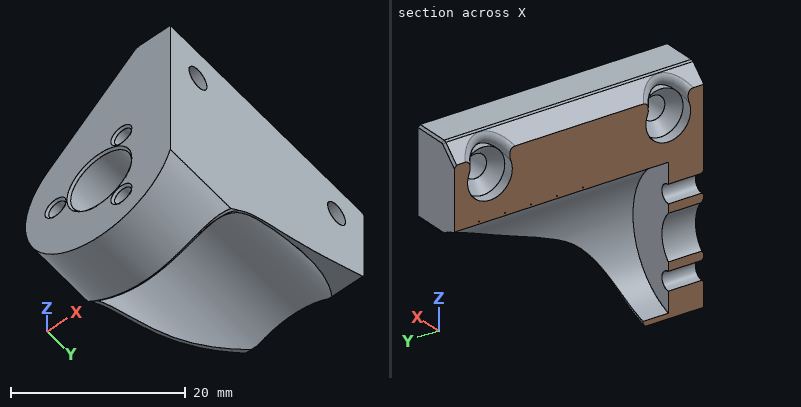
import cadquery as cq
import math

LENGTH = 35.0
BODY_RADIUS = 11.0
PAD_X = 10.5
TOP_Z = 20.5
PAD_THICKNESS = 5.0
EDGE_CHAMFER = 0.3
TOP_EDGE_CHAMFER = 0.2

RELIEF_START_Y = 8.5
RELIEF_RADIUS = 12.0
RELIEF_JOINT_SLOPE = math.radians(20)
RAMP_RADIUS = 150.0
CURVE_STEPS = 4
RELIEF_MARGIN = 5.0

MOTOR_DIAMETER = 20.5
FRONT_WALL = 5.0
SHAFT_DIAMETER = 9.0
FACE_SCREW_DIAMETER = 2.5
FACE_SCREW_CIRCLE_RADIUS = 6.5
FACE_SCREW_ANGLES = (60, 180, 300)

MOUNT_SCREW_DIAMETER = 3.2
MOUNT_HEAD_DIAMETER = 6.2
MOUNT_SCREW_Z = 15.5
MOUNT_SCREW_YS = (5.0, 30.0)
MOUNT_CONE_START_X = 4.7
MOUNT_CONE_DEPTH = (MOUNT_HEAD_DIAMETER - MOUNT_SCREW_DIAMETER) / 2
MOUNT_LIP_FILLET = 1.0
MOUTH_REACH = 0.6 * MOUNT_HEAD_DIAMETER


def make_body():
    """Teardrop outline: flat top and a slope tangent to the round housing, at full radius on +X."""
    top_x = PAD_X - PAD_THICKNESS
    corner_distance = math.hypot(top_x, TOP_Z)
    tangent_angle = math.atan2(TOP_Z, top_x) + math.acos(BODY_RADIUS / corner_distance)
    tangent_point = (
        BODY_RADIUS * math.cos(tangent_angle),
        BODY_RADIUS * math.sin(tangent_angle),
    )
    return (
        cq.Workplane("XZ")
        .moveTo(BODY_RADIUS, 0)
        .lineTo(BODY_RADIUS, TOP_Z)
        .lineTo(top_x, TOP_Z)
        .lineTo(*tangent_point)
        .threePointArc((0, -BODY_RADIUS), (BODY_RADIUS, 0))
        .close()
        .extrude(-LENGTH)
    )


def arc_point(center, radius, angle):
    """Point on a circle at the given angle, measured from the first axis."""
    return (center[0] + radius * math.cos(angle), center[1] + radius * math.sin(angle))


def make_relief():
    """Space below the rear: a tight arc rising from the bottom, then a gentle arc tangent to it."""
    lower_center = (RELIEF_START_Y + RELIEF_RADIUS, -BODY_RADIUS)
    joint_angle = math.pi / 2 + RELIEF_JOINT_SLOPE
    joint = arc_point(lower_center, RELIEF_RADIUS, joint_angle)

    upper_center = arc_point(joint, RAMP_RADIUS, joint_angle)
    rear_y = LENGTH + RELIEF_MARGIN
    ramp_start_angle = joint_angle - math.pi
    ramp_end_angle = -math.acos((rear_y - upper_center[0]) / RAMP_RADIUS)

    curve = []
    for step in range(CURVE_STEPS):
        angle = math.pi + (joint_angle - math.pi) * step / CURVE_STEPS
        curve.append(arc_point(lower_center, RELIEF_RADIUS, angle))
    for step in range(CURVE_STEPS + 1):
        angle = ramp_start_angle + (ramp_end_angle - ramp_start_angle) * step / CURVE_STEPS
        curve.append(arc_point(upper_center, RAMP_RADIUS, angle))
    start_tangent = (0, 1)
    end_tangent = (-math.sin(ramp_end_angle), math.cos(ramp_end_angle))

    floor_z = -BODY_RADIUS - RELIEF_MARGIN
    half_width = BODY_RADIUS + RELIEF_MARGIN
    return (
        cq.Workplane("YZ")
        .moveTo(RELIEF_START_Y, floor_z)
        .lineTo(RELIEF_START_Y, -BODY_RADIUS)
        .spline(curve[1:], tangents=[start_tangent, end_tangent], includeCurrent=True)
        .lineTo(rear_y, floor_z)
        .close()
        .extrude(half_width, both=True)
    )


def front_hole(diameter, x, z):
    """Hole through the front wall with a chamfered mouth."""
    radius = diameter / 2
    hole = cq.Workplane("XZ").center(x, z).circle(radius).extrude(-FRONT_WALL)
    mouth = cq.Solid.makeCone(
        radius + EDGE_CHAMFER, radius, EDGE_CHAMFER, cq.Vector(x, 0, z), cq.Vector(0, 1, 0)
    )
    return hole.union(cq.Workplane(mouth))


def mount_head_pocket(y):
    """Screw head clearance, open through the slope on the -X side."""
    return (
        cq.Workplane("YZ", origin=(-BODY_RADIUS, y, MOUNT_SCREW_Z))
        .circle(MOUNT_HEAD_DIAMETER / 2)
        .extrude(PAD_X + BODY_RADIUS)
    )


def mount_screw_seat(y):
    """Plug at the pad end of the pocket, with the conical seat and screw hole cut from it."""
    start = cq.Vector(MOUNT_CONE_START_X, y, MOUNT_SCREW_Z)
    axis = cq.Vector(1, 0, 0)
    depth = PAD_X - MOUNT_CONE_START_X
    plug = cq.Solid.makeCylinder(MOUNT_HEAD_DIAMETER / 2, depth, start, axis)
    cone = cq.Solid.makeCone(
        MOUNT_HEAD_DIAMETER / 2, MOUNT_SCREW_DIAMETER / 2, MOUNT_CONE_DEPTH, start, axis
    )
    shank = cq.Solid.makeCylinder(MOUNT_SCREW_DIAMETER / 2, depth, start, axis)
    return cq.Workplane(plug.cut(cone, shank))


def pocket_mouth(y):
    """Selector for the elliptical rim where a pocket breaks through the slope."""
    return cq.selectors.BoxSelector(
        (-BODY_RADIUS, y - MOUTH_REACH, 0),
        (PAD_X - PAD_THICKNESS, y + MOUTH_REACH, TOP_Z),
    )


body = make_body()
slope_top = cq.selectors.NearestToPointSelector((PAD_X - PAD_THICKNESS, LENGTH / 2, TOP_Z))
body = body.edges(slope_top).chamfer(TOP_EDGE_CHAMFER)
body = body.cut(make_relief())

rim = body.edges("not (|X or |Y or <Y or >X)").add(body.edges(">Z and >Y"))
body = body.newObject(rim.vals()).chamfer(EDGE_CHAMFER)

pad_trim = cq.Workplane("YZ", origin=(PAD_X, 0, 0)).rect(4 * LENGTH, 4 * LENGTH).extrude(BODY_RADIUS)
body = body.cut(pad_trim)

for screw_y in MOUNT_SCREW_YS:
    body = body.cut(mount_head_pocket(screw_y))
    body = body.edges(pocket_mouth(screw_y)).edges("not %LINE").fillet(MOUNT_LIP_FILLET)
    body = body.union(mount_screw_seat(screw_y))

motor_bore = (
    cq.Workplane("XZ", origin=(0, FRONT_WALL, 0))
    .circle(MOTOR_DIAMETER / 2)
    .extrude(FRONT_WALL - LENGTH)
)
body = body.cut(motor_bore)

body = body.cut(front_hole(SHAFT_DIAMETER, 0, 0))
for face_angle in FACE_SCREW_ANGLES:
    screw_x = FACE_SCREW_CIRCLE_RADIUS * math.cos(math.radians(face_angle))
    screw_z = FACE_SCREW_CIRCLE_RADIUS * math.sin(math.radians(face_angle))
    body = body.cut(front_hole(FACE_SCREW_DIAMETER, screw_x, screw_z))

result = body